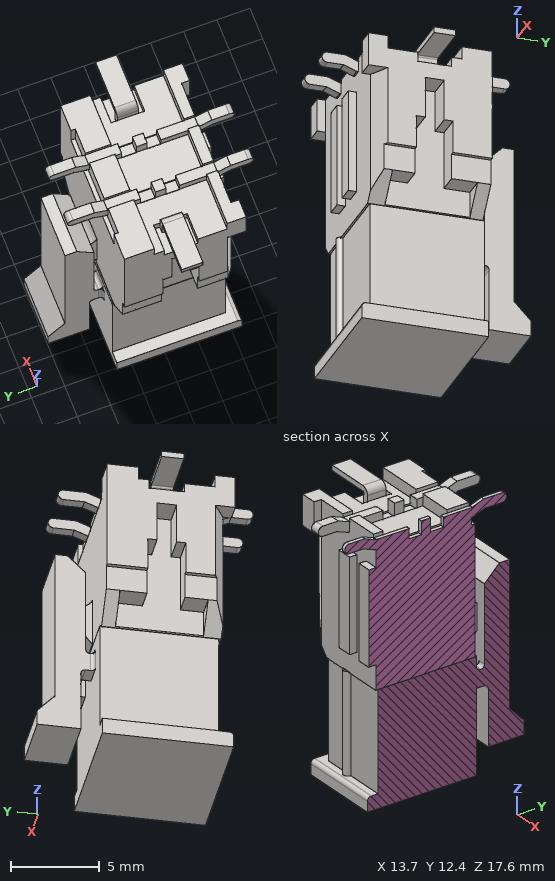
import cadquery as cq

TOTAL_HEIGHT = 17.55
JOINT_Z = 7.6
SEAT_DEPTH = 0.05

HEADER_TOP = 17.48
HEADER_HALF_WIDTH = 5.05
HEADER_BACK = 3.42
HEADER_FRONT = -3.93
FACE_FRONT = -3.44
FACE_HALF_WIDTH = 3.91
SHOULDER_Z = 10.75
SHOULDER_HALF_WIDTH = 4.8
TAPER_TOP_Z = 9.23
FOOT_HALF_WIDTH = 3.42
CORNER_BLOCK_Z = 15.46
CORNER_BEVEL_Y = -2.79

RIB_WIDTH = 1.05
RIB_OFFSET = 0.98

TROUGH_FLOOR = 16.7
TROUGH_FRONT = -2.77
TROUGH_BACK = 1.61
NOTCH_DEPTH = 0.26
NOTCH_HALF_WIDTH = 3.4
NOTCH_FLOOR = 16.15

TAB_TIP = 6.83
TAB_INNER = 3.37
TAB_WIDTH = 1.28
TAB_THICKNESS = 0.37
TAB_BEND = 0.45
TAB_POCKET_WIDTH = 2.02
TAB_POCKET_FLOOR = 16.15

WINDOW_FLOOR = 3.47
WINDOW_HALF_WIDTH = 1.09
WINDOW_TOP = 12.72
KEYWAY_HALF_WIDTH = 0.56
KEYWAY_TOP = 15.2
OPENING_FRONT = -2.42
OPENING_BACK = 2.63

PIN_OFFSET = 1.5
PIN_SIZE = 0.65
PIN_INNER_TOP = 17.25
FRONT_PIN_INNER_END = 1.14
BACK_PIN_INNER_END = 1.21
PIN_TIP = 5.6
PIN_BEND_RUN = 0.79
PIN_BEND_SHIFT = 0.1
FRONT_BEND_START = 3.42
BACK_BEND_START = 3.2

BUMP_WIDTH = 1.44
BUMP_BASE_BOTTOM = 8.1
BUMP_BASE_TOP = 11.05
BUMP_CREST_BOTTOM = 8.88
BUMP_CREST_TOP = 10.57
BUMP_HOLLOW = 0.09

PLUG_X = 0.04
PLUG_HALF_WIDTH = 3.42
PLUG_FRONT = -3.32
PLUG_BACK = 3.51
FLANGE_HALF_WIDTH = 4.15
FLANGE_FRONT = -4.04
FLANGE_HEIGHT = 0.98
FLANGE_ROUND = 0.26
KEY_X = -1.51
KEY_RADIUS = 0.3

LEVER_HALF_WIDTH = 1.91
LEVER_INNER = 4.04
LEVER_OUTER = 5.8
LEVER_GRIP = 6.81
LEVER_TAIL_INNER = 4.3
LEVER_TOP = 13.13
LEVER_HOOK_LENGTH = 1.02
LEVER_TOP_EDGE = 5.07
LEVER_BOTTOM = 1.6
GRIP_TOP = 2.55
GRIP_SLOPE_TOP = 3.62
STEM_BOTTOM = 5.58
STEM_TOP = 6.72
STEM_GAP_HALF_WIDTH = 0.85
STEM_FILLET = 0.25


def block(x_range, y_range, z_range):
    """Box spanning the given (low, high) ranges."""
    size = [high - low for low, high in (x_range, y_range, z_range)]
    corner = (x_range[0], y_range[0], z_range[0])
    return cq.Workplane("XY").box(*size, centered=False).translate(corner)


def side_profile(center_x, width):
    """Workplane for an outline drawn in Y and Z, to be extruded by width along +X."""
    return cq.Workplane("YZ", origin=(center_x - width / 2, 0, 0))


def both_sides(shape):
    """The shape together with its mirror image across the YZ plane."""
    return shape.union(shape.mirror("YZ"))


def header_block():
    half_outline = [
        (0, HEADER_TOP),
        (HEADER_HALF_WIDTH, HEADER_TOP),
        (HEADER_HALF_WIDTH, SHOULDER_Z),
        (SHOULDER_HALF_WIDTH, SHOULDER_Z),
        (SHOULDER_HALF_WIDTH, TAPER_TOP_Z),
        (FOOT_HALF_WIDTH, JOINT_Z),
        (0, JOINT_Z),
    ]
    half = cq.Workplane("XZ", origin=(0, HEADER_BACK, 0)).polyline(half_outline).close()
    body = both_sides(half.extrude(HEADER_BACK - HEADER_FRONT))

    face_recess = block(
        (-FACE_HALF_WIDTH, FACE_HALF_WIDTH), (HEADER_FRONT, FACE_FRONT), (JOINT_Z, HEADER_TOP)
    )
    bevel_outline = [
        (FACE_HALF_WIDTH, HEADER_FRONT),
        (FACE_HALF_WIDTH, FACE_FRONT),
        (HEADER_HALF_WIDTH, CORNER_BEVEL_Y),
        (HEADER_HALF_WIDTH, HEADER_FRONT),
    ]
    bevel = cq.Workplane("XY", origin=(0, 0, JOINT_Z)).polyline(bevel_outline).close()
    bevels = both_sides(bevel.extrude(CORNER_BLOCK_Z - JOINT_Z))
    return body.cut(face_recess).cut(bevels)


def front_ribs():
    rib = block(
        (RIB_OFFSET - RIB_WIDTH / 2, RIB_OFFSET + RIB_WIDTH / 2),
        (HEADER_FRONT, FACE_FRONT),
        (TAPER_TOP_Z, CORNER_BLOCK_Z),
    )
    return both_sides(rib)


def top_recesses():
    trough = block(
        (-HEADER_HALF_WIDTH, HEADER_HALF_WIDTH),
        (TROUGH_FRONT, TROUGH_BACK),
        (TROUGH_FLOOR, HEADER_TOP),
    )
    back_notch = block(
        (-NOTCH_HALF_WIDTH, NOTCH_HALF_WIDTH),
        (HEADER_BACK - NOTCH_DEPTH, HEADER_BACK),
        (NOTCH_FLOOR, HEADER_TOP),
    )
    tab_pocket = block(
        (TAB_INNER, HEADER_HALF_WIDTH),
        (-TAB_POCKET_WIDTH / 2, TAB_POCKET_WIDTH / 2),
        (TAB_POCKET_FLOOR, HEADER_TOP),
    )
    pin_slot = block(
        (PIN_OFFSET - PIN_SIZE / 2, PIN_OFFSET + PIN_SIZE / 2),
        (FACE_FRONT, HEADER_BACK),
        (PIN_INNER_TOP - PIN_SIZE, HEADER_TOP),
    )
    return trough.union(back_notch).union(both_sides(tab_pocket)).union(both_sides(pin_slot))


def side_windows():
    keyway = block(
        (WINDOW_FLOOR, HEADER_HALF_WIDTH),
        (-KEYWAY_HALF_WIDTH, KEYWAY_HALF_WIDTH),
        (JOINT_Z, KEYWAY_TOP),
    )
    window = block(
        (WINDOW_FLOOR, HEADER_HALF_WIDTH),
        (-WINDOW_HALF_WIDTH, WINDOW_HALF_WIDTH),
        (JOINT_Z, WINDOW_TOP),
    )
    opening = block(
        (WINDOW_FLOOR, HEADER_HALF_WIDTH), (OPENING_FRONT, OPENING_BACK), (JOINT_Z, TAPER_TOP_Z)
    )
    return both_sides(keyway.union(window).union(opening))


def solder_tabs():
    """Two bent strips: a leg standing in each pocket and a foot reaching outward."""
    leg = block(
        (TAB_INNER, TAB_INNER + TAB_THICKNESS),
        (-TAB_WIDTH / 2, TAB_WIDTH / 2),
        (TAB_POCKET_FLOOR, TOTAL_HEIGHT),
    )
    foot = block(
        (TAB_INNER, TAB_TIP),
        (-TAB_WIDTH / 2, TAB_WIDTH / 2),
        (TOTAL_HEIGHT - TAB_THICKNESS, TOTAL_HEIGHT),
    )
    tab = leg.union(foot).edges("|Y and >Z and <X").fillet(TAB_BEND)
    inner_corner = (TAB_INNER + TAB_THICKNESS, 0, TOTAL_HEIGHT - TAB_THICKNESS)
    tab = tab.edges(cq.selectors.NearestToPointSelector(inner_corner)).fillet(TAB_BEND - TAB_THICKNESS)
    return both_sides(tab)


def contact_pin(side, inner_end, bend_start):
    """Gull-wing pin that steps up and runs out along Y; side is +1 (back) or -1 (front)."""
    inner_bottom = PIN_INNER_TOP - PIN_SIZE
    outer_bottom = TOTAL_HEIGHT - PIN_SIZE
    tip_radius = PIN_SIZE / 2
    bend_end = bend_start + PIN_BEND_RUN
    straight_end = PIN_TIP - tip_radius
    outline = (
        side_profile(PIN_OFFSET, PIN_SIZE)
        .moveTo(side * inner_end, inner_bottom)
        .lineTo(side * inner_end, PIN_INNER_TOP)
        .lineTo(side * bend_start, PIN_INNER_TOP)
        .lineTo(side * bend_end, TOTAL_HEIGHT)
        .lineTo(side * straight_end, TOTAL_HEIGHT)
        .threePointArc(
            (side * PIN_TIP, TOTAL_HEIGHT - tip_radius), (side * straight_end, outer_bottom)
        )
        .lineTo(side * (bend_end + PIN_BEND_SHIFT), outer_bottom)
        .lineTo(side * (bend_start + PIN_BEND_SHIFT), inner_bottom)
        .close()
    )
    return both_sides(outline.extrude(PIN_SIZE))


def contact_posts():
    post = block(
        (PIN_OFFSET - PIN_SIZE / 2, PIN_OFFSET + PIN_SIZE / 2),
        (-PIN_SIZE / 2, PIN_SIZE / 2),
        (PIN_INNER_TOP - PIN_SIZE, HEADER_TOP),
    )
    return both_sides(post)


def latch_bump():
    outline = (
        side_profile(0, BUMP_WIDTH)
        .moveTo(HEADER_BACK, BUMP_BASE_BOTTOM)
        .lineTo(LEVER_INNER, BUMP_CREST_BOTTOM)
        .lineTo(LEVER_INNER, BUMP_CREST_TOP)
        .sagittaArc((HEADER_BACK, BUMP_BASE_TOP), BUMP_HOLLOW)
        .close()
    )
    return outline.extrude(BUMP_WIDTH)


def make_header():
    body = header_block().union(front_ribs()).cut(top_recesses()).cut(side_windows())
    body = body.union(solder_tabs()).union(contact_posts()).union(latch_bump())
    body = body.union(contact_pin(1, BACK_PIN_INNER_END, BACK_BEND_START))
    return body.union(contact_pin(-1, FRONT_PIN_INNER_END, FRONT_BEND_START))


def plug_block():
    plug_top = JOINT_Z + SEAT_DEPTH
    body = block((-PLUG_HALF_WIDTH, PLUG_HALF_WIDTH), (PLUG_FRONT, PLUG_BACK), (0, plug_top))
    flange = block(
        (-FLANGE_HALF_WIDTH, FLANGE_HALF_WIDTH), (FLANGE_FRONT, PLUG_BACK), (0, FLANGE_HEIGHT)
    )
    flange = flange.edges("|X and >Z and <Y").fillet(FLANGE_ROUND)
    key = cq.Workplane("XY").center(KEY_X - PLUG_X, PLUG_FRONT).circle(KEY_RADIUS).extrude(plug_top)
    seat = block(
        (-PLUG_HALF_WIDTH, PLUG_HALF_WIDTH), (FACE_FRONT, HEADER_BACK), (JOINT_Z, plug_top)
    )
    return body.union(flange).union(key).cut(seat)


def latch_lever():
    width = 2 * LEVER_HALF_WIDTH
    outline = [
        (LEVER_INNER, LEVER_TOP - LEVER_HOOK_LENGTH),
        (LEVER_TOP_EDGE, LEVER_TOP),
        (LEVER_OUTER, LEVER_TOP),
        (LEVER_OUTER, GRIP_SLOPE_TOP),
        (LEVER_GRIP, GRIP_TOP),
        (LEVER_GRIP, LEVER_BOTTOM),
        (LEVER_TAIL_INNER, LEVER_BOTTOM),
        (LEVER_TAIL_INNER, STEM_BOTTOM),
        (LEVER_INNER, STEM_BOTTOM),
    ]
    return side_profile(0, width).polyline(outline).close().extrude(width)


def fillet_strip(plane, corner, toward, length):
    """Concave fillet filling the corner of two walls that run along the two toward directions."""
    r = STEM_FILLET
    u, v = toward
    x, y = corner
    bulge = r * (1 - 0.5 ** 0.5)
    return (
        plane.moveTo(x, y)
        .lineTo(x + u * r, y)
        .threePointArc((x + u * bulge, y + v * bulge), (x, y + v * r))
        .close()
        .extrude(length)
    )


def lever_stems():
    """Two short arms that join the lever to the plug, with a gap for the latch bump between."""
    arm_width = LEVER_HALF_WIDTH - STEM_GAP_HALF_WIDTH
    arm_center = (LEVER_HALF_WIDTH + STEM_GAP_HALF_WIDTH) / 2
    arm = block(
        (STEM_GAP_HALF_WIDTH, LEVER_HALF_WIDTH),
        (PLUG_BACK, LEVER_TAIL_INNER),
        (STEM_BOTTOM, STEM_TOP),
    )
    across = side_profile(arm_center, arm_width)
    upright = cq.Workplane("XY", origin=(0, 0, STEM_BOTTOM))
    fillets = [
        fillet_strip(across, (LEVER_INNER, STEM_TOP), (-1, 1), arm_width),
        fillet_strip(across, (PLUG_BACK, STEM_TOP), (1, 1), arm_width),
        fillet_strip(across, (LEVER_TAIL_INNER, STEM_BOTTOM), (-1, -1), arm_width),
        fillet_strip(upright, (LEVER_HALF_WIDTH, PLUG_BACK), (1, 1), STEM_TOP - STEM_BOTTOM),
    ]
    for fillet in fillets:
        arm = arm.union(fillet)
    return both_sides(arm)


def make_plug():
    plug = plug_block().union(latch_lever()).union(lever_stems())
    return plug.translate((PLUG_X, 0, 0))


header = make_header()
plug = make_plug()
result = cq.Compound.makeCompound([header.val(), plug.val()])